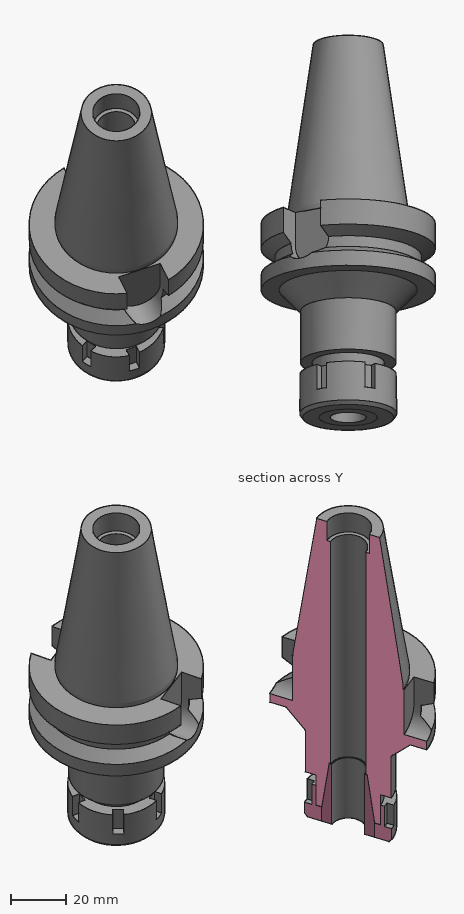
import cadquery as cq
import math


total_height = 140.4
nut_height = 16.0
body_bottom = 20.6
body_top = 40.0
flange_bottom = 48.0
flange_top = 73.0
gauge_height = 75.0

taper_end_diameter = 25.4
taper_end_radius = taper_end_diameter / 2
gauge_radius = 22.2
flange_diameter = 63.0
flange_radius = flange_diameter / 2
shoulder_radius = 25.0
body_radius = 17.3
neck_radius = 13.0

groove_radius = 26.5
groove_floor_bottom = 56.6
groove_floor_top = 60.7
groove_flank_angle = 30.0
groove_flank_height = (flange_radius - groove_radius) * math.tan(math.radians(groove_flank_angle))

drive_slot_width = 16.1
drive_slot_floor = 22.5
drive_slot_bottom = 52.2
drive_slot_arc_height = drive_slot_bottom + drive_slot_width / 2

bore_radius = 7.0
counterbore_diameter = 17.0
counterbore_radius = counterbore_diameter / 2
counterbore_depth = 8.8

nut_radius = 17.5
nut_chamfer_height = 1.4
nut_chamfer_width = 1.1
nut_slot_count = 6
nut_slot_width = 4.0
nut_slot_length = 9.4
nut_slot_floor = 14.6
nose_bottom = nut_height - nut_slot_length

collet_radius = 10.5
collet_bore_diameter = 13.0
collet_bore_radius = collet_bore_diameter / 2
collet_height = 28.1
collet_half_angle = 8.0
collet_taper_height = collet_height - nose_bottom
collet_top_radius = collet_radius - collet_taper_height * math.tan(math.radians(collet_half_angle))


def revolve_profile(points):
    """Turn a closed (radius, height) outline about the Z axis."""
    return cq.Workplane("XZ").polyline(points).close().revolve(360, (0, 0, 0), (0, 1, 0))


def cylinder(radius, bottom, height):
    return cq.Workplane("XY").workplane(offset=bottom).circle(radius).extrude(height)


def make_collet_envelope():
    """Outside shape of the collet, without its bore."""
    return revolve_profile([
        (0, 0),
        (collet_radius, 0),
        (collet_radius, nose_bottom),
        (collet_top_radius, collet_height),
        (0, collet_height),
    ])


def make_drive_slot():
    """Cutter for the drive slot on the +X side."""
    slot_depth = flange_radius - drive_slot_floor
    half_width = drive_slot_width / 2
    return (
        cq.Workplane("YZ")
        .workplane(offset=drive_slot_floor)
        .moveTo(-half_width, flange_top)
        .lineTo(-half_width, drive_slot_arc_height)
        .threePointArc((0, drive_slot_bottom), (half_width, drive_slot_arc_height))
        .lineTo(half_width, flange_top)
        .close()
        .extrude(slot_depth)
    )


def make_holder():
    holder = revolve_profile([
        (0, nose_bottom),
        (neck_radius, nose_bottom),
        (neck_radius, body_bottom),
        (body_radius, body_bottom),
        (body_radius, body_top),
        (shoulder_radius, flange_bottom),
        (flange_radius, flange_bottom),
        (flange_radius, groove_floor_bottom - groove_flank_height),
        (groove_radius, groove_floor_bottom),
        (groove_radius, groove_floor_top),
        (flange_radius, groove_floor_top + groove_flank_height),
        (flange_radius, flange_top),
        (gauge_radius, flange_top),
        (gauge_radius, gauge_height),
        (taper_end_radius, total_height),
        (0, total_height),
    ])
    drive_slot = make_drive_slot()
    for angle in (0, 180):
        holder = holder.cut(drive_slot.rotate((0, 0, 0), (0, 0, 1), angle))

    holder = holder.cut(cylinder(bore_radius, nose_bottom, total_height - nose_bottom))
    holder = holder.cut(cylinder(counterbore_radius, total_height - counterbore_depth, counterbore_depth))
    return holder.cut(make_collet_envelope())


def make_nut():
    nut = revolve_profile([
        (collet_radius, 0),
        (nut_radius - nut_chamfer_width, 0),
        (nut_radius, nut_chamfer_height),
        (nut_radius, nut_height),
        (neck_radius, nut_height),
        (neck_radius, nose_bottom),
        (collet_radius, nose_bottom),
    ])
    slot_depth = nut_radius - nut_slot_floor
    slot = cq.Workplane("XY").box(
        slot_depth, nut_slot_width, nut_slot_length, centered=(False, True, False)
    ).translate((nut_slot_floor, 0, nose_bottom))
    for index in range(nut_slot_count):
        nut = nut.cut(slot.rotate((0, 0, 0), (0, 0, 1), index * 360 / nut_slot_count))
    return nut


def make_collet():
    return make_collet_envelope().cut(cylinder(collet_bore_radius, 0, collet_height))


holder = make_holder()
nut = make_nut()
collet = make_collet()

result = cq.Compound.makeCompound([holder.val(), nut.val(), collet.val()])